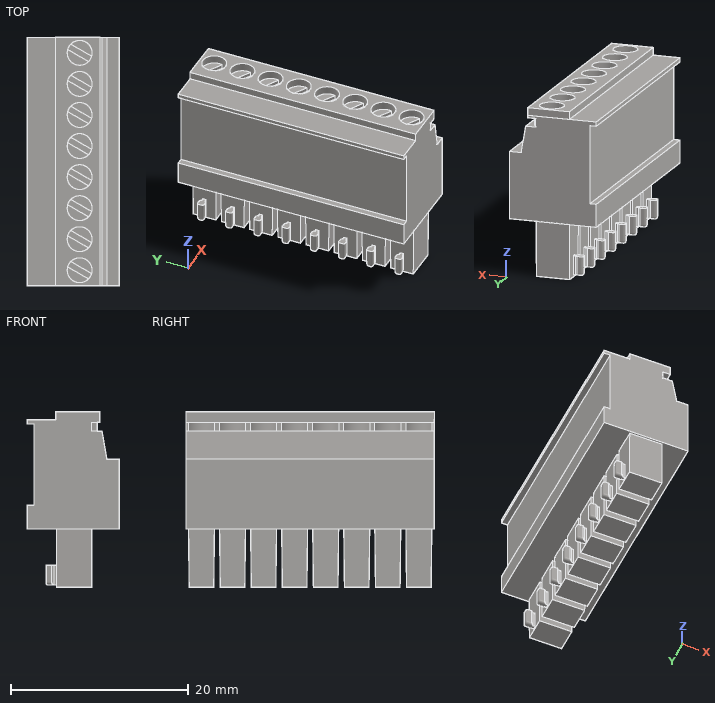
import cadquery as cq


pole_count = 8
pitch = 3.5
housing_length = pole_count * pitch

housing_depth = 10.4
housing_height = 13.25
back_recess = 0.75
back_foot_height = 2.7
lip_thickness = 0.5
lip_top = housing_height - 0.9
step_height = 7.9
step_x = 9.0
slope_top_x = 8.46
groove_floor = 11.05
groove_height = 1.0
groove_wall_x = 7.27

rail_back_x = 3.2
rail_front_x = 8.2
rail_overhang = 0.02

screw_x = 5.92
screw_diameter = 2.8
well_depth = 1.0
well_wall_diameter = 4.0
slot_width = 0.7
slot_depth = 0.5
slot_angle = -30

prong_length = 6.55
prong_back_x = 3.3
prong_depth = 4.0
prong_root_width = 2.95
prong_tip_width = 2.8

lug_reach = 1.17
lug_width = 0.8
lug_height = 2.25
lug_tip_gap = 0.25
lug_corner_radius = 0.3
lug_front_radius = 0.2
neck_inset = 0.2
neck_length = 0.25
neck_slope_length = 0.28


def pole_position(index):
    return (index + 0.5) * pitch


def box(x_min, x_max, y_min, y_max, z_min, z_max):
    size = (x_max - x_min, y_max - y_min, z_max - z_min)
    return cq.Workplane("XY").box(*size, centered=False).translate((x_min, y_min, z_min))


def make_housing():
    outline = [
        (0, 0),
        (housing_depth, 0),
        (housing_depth, step_height),
        (step_x, step_height),
        (slope_top_x, groove_floor),
        (groove_wall_x, groove_floor),
        (groove_wall_x, lip_top),
        (0, lip_top),
        (0, lip_top - lip_thickness),
        (back_recess, lip_top - lip_thickness),
        (back_recess, back_foot_height),
        (0, back_foot_height),
    ]
    return cq.Workplane("XZ").polyline(outline).close().extrude(-housing_length)


def make_rail():
    rail_bottom = groove_floor + groove_height
    rail_end = housing_length + rail_overhang
    upper = box(rail_back_x, rail_front_x, 0, rail_end, lip_top, housing_height)
    lower = box(rail_back_x, rail_front_x, 0, housing_length, rail_bottom, lip_top)
    return upper.union(lower)


def make_well_wall(y):
    """Round wall that bulges into the groove beside one screw."""
    disc = cq.Workplane("XY").circle(well_wall_diameter / 2).extrude(groove_height)
    groove = box(
        groove_wall_x, rail_front_x, 0, housing_length, groove_floor, groove_floor + groove_height
    )
    return disc.translate((screw_x, y, groove_floor)).intersect(groove)


def make_well(y):
    """Screw well down to the screw head, with the driver slot below it."""
    well = cq.Workplane("XY").circle(screw_diameter / 2).extrude(well_depth)
    head = cq.Workplane("XY").circle(screw_diameter / 2).extrude(-slot_depth)
    blade = cq.Workplane("XY").rect(screw_diameter, slot_width).extrude(-slot_depth)
    slot = blade.rotate((0, 0, 0), (0, 0, 1), slot_angle).intersect(head)
    return well.union(slot).translate((screw_x, y, housing_height - well_depth))


def make_prong(y):
    outline = [
        (-prong_root_width / 2, 0),
        (prong_root_width / 2, 0),
        (prong_tip_width / 2, -prong_length),
        (-prong_tip_width / 2, -prong_length),
    ]
    prong = cq.Workplane("YZ").polyline(outline).close().extrude(prong_depth)
    return prong.translate((prong_back_x, y, 0))


def make_lug(y):
    """Coding lug with rounded lower corners, rounded front edges and a narrower neck."""
    half_width = lug_width / 2
    blank = (
        cq.Workplane("XY")
        .box(lug_reach, lug_width, lug_height, centered=(False, True, False))
        .edges("|X and <Z")
        .fillet(lug_corner_radius)
    )
    blank = blank.faces("<X").edges("not >Z").fillet(lug_front_radius)
    neck_start = lug_reach - neck_length
    slope_start = neck_start - neck_slope_length
    neck_half_width = half_width - neck_inset
    plan = [
        (0, half_width),
        (slope_start, half_width),
        (neck_start, neck_half_width),
        (lug_reach, neck_half_width),
        (lug_reach, -neck_half_width),
        (neck_start, -neck_half_width),
        (slope_start, -half_width),
        (0, -half_width),
    ]
    lug = blank.intersect(cq.Workplane("XY").polyline(plan).close().extrude(lug_height))
    return lug.translate((prong_back_x - lug_reach, y, lug_tip_gap - prong_length))


def make_terminal_block():
    block = make_housing().union(make_rail())
    for index in range(pole_count):
        y = pole_position(index)
        block = block.union(make_well_wall(y)).union(make_prong(y)).union(make_lug(y))
    for index in range(pole_count):
        block = block.cut(make_well(pole_position(index)))
    return block


result = make_terminal_block()